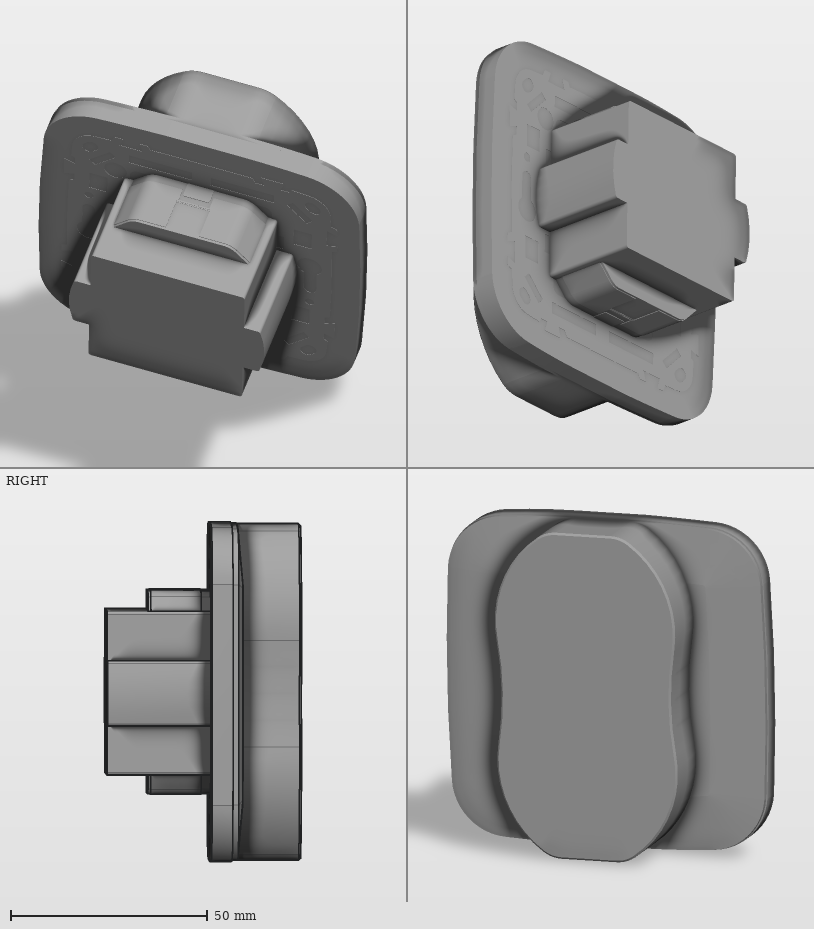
import cadquery as cq
import math

ROLL_ABOUT_Y = 1.1
YAW_ABOUT_Z = 0.9

PLATE_HALF_X = 43.1
PLATE_HALF_Z = 43.1
SIDE_FLAT_HALF = 9.7
SIDE_RADIUS = 219.9
SIDE_BEND = 4.8
PLATE_STRAIGHT = 5.3
RIM_DEPTH = 6.75
RIM_STEP = 0.35
CROWN_DEPTH = 8.05
CROWN_INSET = 14.7

BODY_DEPTH = 23.0
BODY_FLAT_HALF = 7.4
BODY_SHOULDER = (12.3, 41.2)
BODY_WAIST = (23.9, 13.6)
BODY_CHAMFER = 0.5

FRAME_THICK = 0.1
FRAME_INSET = 7.6
FRAME_BEND = 5.1
JOINT_OFFSET = 19.0
JOINT_IN = 33.85
JOINT_OUT = 36.7
JOINT_OVERLAP = 0.9
JOINT_FOOT_HALF = 5.45
JOINT_CREST_HALF = 4.5
DOVETAIL_WIDE_HALF = 3.1
DOVETAIL_NECK_HALF = 2.2

LONG_SLOT_AT = (11.0, 29.3)
LONG_SLOT_SIZE = (17.0, 3.1)
CORNER_SLOT_AT = (26.5, 26.4)
CORNER_SLOT_SIZE = (7.7, 2.25)
OVAL_AT = (29.9, 29.9)
OVAL_SIZE = (4.7, 3.4)
RECT_HOLE_AT = (27.45, 15.85)
RECT_HOLE_SIZE = (4.85, 6.15)
SIDE_HOLE_AT = (20.8, 12.0)
SIDE_HOLE_SIZE = (3.5, 5.1)
KEYHOLE_X = 29.8
KEYHOLE_NECK_SIZE = (11.1, 3.4)
KEYHOLE_HEAD_AT = (29.5, 5.2)
KEYHOLE_HEAD_RADIUS = 3.3
SCREW_HOLE_Z = 9.5
SCREW_HOLE_RADIUS = 1.2
LONE_HOLE_AT = (-22.95, 22.95)
LONE_HOLE_RADIUS = 3.0
CENTRE_OPENING_SIZE = (38.1, 49.7)
CENTRE_OPENING_ROUND = 2.2

BOX_HALF_X = 20.6
BOX_HALF_Z = 20.9
BOX_DEPTH = 26.4
BOX_FILLET = 0.8
WING_RADIUS = 26.2
WING_HALF = 8.3
WING_FILLET = 0.9

CLIP_TOP = 26.0
CLIP_HALF_TOP = 13.25
CLIP_DEPTH = 15.9
CLIP_SLOPE = 45.0
CLIP_ROUND = 4.8
CLIP_SKIN = 0.2
SKIN_START = 2.4
SKIN_END = 15.2
WINDOW_HALF = 4.5
WINDOW_START = 6.3
CHANNEL_HALF = 4.15
CHANNEL_END = 5.9
LEDGE_END = 6.7
TONGUE_HALF = 3.55
TONGUE_END = 4.2


def front_plane(y):
    """Sketch plane facing -Y at the given y; sketch axes are X and Z."""
    return cq.Workplane("XZ", origin=(0, y, 0))


def block(x0, x1, y0, y1, z0, z1):
    return cq.Workplane("XY").box(x1 - x0, y1 - y0, z1 - z0, centered=False).translate((x0, y0, z0))


def squircle(y, inset, bend_degrees=SIDE_BEND):
    """Plate outline moved inwards: bowed sides and round corners, with flat middles above and below."""
    half_x = PLATE_HALF_X - inset
    half_z = PLATE_HALF_Z - inset
    bend = math.radians(bend_degrees)
    radius = SIDE_RADIUS - inset
    flat = SIDE_FLAT_HALF
    along = flat + radius * math.sin(bend)
    drop = radius * (1 - math.cos(bend))
    top = half_z - drop
    side = half_x - drop
    return (
        front_plane(y)
        .moveTo(-flat, half_z).lineTo(flat, half_z)
        .tangentArcPoint((along, top), relative=False)
        .tangentArcPoint((side, along), relative=False)
        .threePointArc((half_x, 0), (side, -along))
        .tangentArcPoint((along, -top), relative=False)
        .tangentArcPoint((flat, -half_z), relative=False).lineTo(-flat, -half_z)
        .tangentArcPoint((-along, -top), relative=False)
        .tangentArcPoint((-side, -along), relative=False)
        .threePointArc((-half_x, 0), (-side, along))
        .tangentArcPoint((-along, top), relative=False)
        .tangentArcPoint((-flat, half_z), relative=False)
        .close()
    )


def cover_plate():
    plate = squircle(PLATE_STRAIGHT, 0).extrude(PLATE_STRAIGHT)
    rim = squircle(RIM_DEPTH, RIM_STEP).extrude(RIM_DEPTH - PLATE_STRAIGHT)
    crown_base = squircle(RIM_DEPTH, RIM_STEP).val()
    crown_top = squircle(CROWN_DEPTH, CROWN_INSET).val()
    crown = cq.Workplane(cq.Solid.makeLoft([crown_base, crown_top], True))
    return plate.union(rim).union(crown)


def rear_body():
    """Two round ends joined by a hollowed waist on each side."""
    flat = BODY_FLAT_HALF
    shoulder_x, shoulder_z = BODY_SHOULDER
    waist_x, waist_z = BODY_WAIST
    top = PLATE_HALF_Z - RIM_STEP
    outline = (
        front_plane(BODY_DEPTH)
        .moveTo(-flat, top).lineTo(flat, top)
        .tangentArcPoint((shoulder_x, shoulder_z), relative=False)
        .tangentArcPoint((waist_x, waist_z), relative=False)
        .tangentArcPoint((waist_x, -waist_z), relative=False)
        .tangentArcPoint((shoulder_x, -shoulder_z), relative=False)
        .tangentArcPoint((flat, -top), relative=False).lineTo(-flat, -top)
        .tangentArcPoint((-shoulder_x, -shoulder_z), relative=False)
        .tangentArcPoint((-waist_x, -waist_z), relative=False)
        .tangentArcPoint((-waist_x, waist_z), relative=False)
        .tangentArcPoint((-shoulder_x, shoulder_z), relative=False)
        .tangentArcPoint((-flat, top), relative=False)
        .close()
    )
    return outline.extrude(BODY_DEPTH - PLATE_STRAIGHT).faces(">Y").edges().chamfer(BODY_CHAMFER)


def trapezoid(centre, half0, z0, half1, z1):
    """Frame-thick prism whose half-width runs from half0 at z0 to half1 at z1."""
    points = [
        (centre - half0, z0),
        (centre + half0, z0),
        (centre + half1, z1),
        (centre - half1, z1),
    ]
    return front_plane(0).polyline(points).close().extrude(FRAME_THICK)


def quarter_turned(shape, quarter):
    return shape.rotate((0, 0, 0), (0, 1, 0), 90 * quarter)


def add_joints(frame):
    """One dovetail socket and one dovetail tab on each side."""
    base = PLATE_HALF_Z - FRAME_INSET
    root = base - JOINT_OVERLAP
    ears = trapezoid(-JOINT_OFFSET, JOINT_FOOT_HALF, root, JOINT_CREST_HALF, JOINT_OUT)
    socket = trapezoid(-JOINT_OFFSET, DOVETAIL_WIDE_HALF, JOINT_IN, DOVETAIL_NECK_HALF, JOINT_OUT)
    notch = trapezoid(JOINT_OFFSET, JOINT_CREST_HALF, JOINT_IN, JOINT_FOOT_HALF, base)
    tab = trapezoid(JOINT_OFFSET, DOVETAIL_NECK_HALF, JOINT_IN, DOVETAIL_WIDE_HALF, JOINT_OUT)
    for quarter in range(4):
        frame = frame.union(quarter_turned(ears, quarter)).cut(quarter_turned(socket, quarter))
        frame = frame.cut(quarter_turned(notch, quarter)).union(quarter_turned(tab, quarter))
    return frame


def frame_rect(centre, size, angle=0):
    plane = front_plane(0).center(*centre).transformed(rotate=(0, 0, angle))
    return plane.rect(*size).extrude(FRAME_THICK)


def frame_slot(centre, size, angle):
    """Round-ended opening."""
    return front_plane(0).center(*centre).slot2D(*size, angle).extrude(FRAME_THICK)


def frame_disc(centre, radius):
    return front_plane(0).center(*centre).circle(radius).extrude(FRAME_THICK)


def mirrored_openings(sx, sz):
    """Openings of one quarter of the frame; sx and sz give its signs."""
    def placed(centre):
        return (sx * centre[0], sz * centre[1])

    tangent = -45 * sx * sz
    return [
        frame_rect(placed(LONG_SLOT_AT), LONG_SLOT_SIZE),
        frame_rect(placed(CORNER_SLOT_AT), CORNER_SLOT_SIZE, tangent),
        frame_rect(placed(RECT_HOLE_AT), RECT_HOLE_SIZE),
        frame_rect(placed(SIDE_HOLE_AT), SIDE_HOLE_SIZE),
        frame_slot(placed(OVAL_AT), OVAL_SIZE, tangent),
    ]


def paired_openings(side):
    """Screw hole and keyhole, repeated by a half turn; side is +1 or -1."""
    return [
        frame_disc((side * KEYHOLE_X, -side * SCREW_HOLE_Z), SCREW_HOLE_RADIUS),
        frame_disc((side * KEYHOLE_HEAD_AT[0], side * KEYHOLE_HEAD_AT[1]), KEYHOLE_HEAD_RADIUS),
        frame_slot((side * KEYHOLE_X, 0), KEYHOLE_NECK_SIZE, 90),
    ]


def frame_openings():
    centre = frame_rect((0, 0), CENTRE_OPENING_SIZE).edges("|Y").fillet(CENTRE_OPENING_ROUND)
    openings = [centre, frame_disc(LONE_HOLE_AT, LONE_HOLE_RADIUS)]
    for sx in (-1, 1):
        openings += paired_openings(sx)
        for sz in (-1, 1):
            openings += mirrored_openings(sx, sz)
    return openings


def mounting_frame():
    frame = add_joints(squircle(0, FRAME_INSET, FRAME_BEND).extrude(FRAME_THICK))
    for opening in frame_openings():
        frame = frame.cut(opening)
    return frame


def front_box():
    box = front_plane(0).rect(2 * BOX_HALF_X, 2 * BOX_HALF_Z).extrude(BOX_DEPTH)
    box = box.edges("|Y").fillet(BOX_FILLET)
    wing_bar = front_plane(0).rect(2 * WING_RADIUS, 2 * WING_HALF).extrude(BOX_DEPTH)
    wings = front_plane(0).circle(WING_RADIUS).extrude(BOX_DEPTH).intersect(wing_bar)
    return box.union(wings.edges("|Y").fillet(WING_FILLET))


def clip_prism(y0, y1, lower):
    """Upper clip block between two depths, its sloped outline lowered by an amount."""
    top = CLIP_TOP - lower
    half_top = CLIP_HALF_TOP - lower * math.tan(math.radians(CLIP_SLOPE / 2))
    half_foot = half_top + top / math.tan(math.radians(CLIP_SLOPE))
    prism = (
        front_plane(-y0)
        .polyline([(-half_top, top), (half_top, top), (half_foot, 0), (-half_foot, 0)]).close()
        .extrude(y1 - y0)
    )
    prism = prism.edges("|Y and >Z").fillet(CLIP_ROUND - lower)
    return prism.intersect(block(-BOX_HALF_X, BOX_HALF_X, -y1, -y0, 0, CLIP_TOP))


def clip_block():
    """Upper clip: a core with a raised skin, notched by a window and a tongue channel."""
    core = clip_prism(0, CLIP_DEPTH, CLIP_SKIN)
    skin = clip_prism(SKIN_START, SKIN_END, 0)
    bare = CLIP_TOP - CLIP_SKIN
    window = block(-WINDOW_HALF, WINDOW_HALF, -CLIP_DEPTH, -WINDOW_START, bare, CLIP_TOP)
    channel = block(-CHANNEL_HALF, CHANNEL_HALF, -CHANNEL_END, 0, bare, CLIP_TOP)
    tongue = block(-TONGUE_HALF, TONGUE_HALF, -TONGUE_END, 0, 0, CLIP_TOP)
    ledge = block(-WINDOW_HALF, WINDOW_HALF, -LEDGE_END, -WINDOW_START, 0, bare + CLIP_SKIN / 2)
    return core.union(skin.cut(window).cut(channel)).union(ledge).union(tongue)


upper_clip = clip_block()
part = (
    cover_plate()
    .union(rear_body())
    .union(mounting_frame())
    .union(front_box())
    .union(upper_clip)
    .union(upper_clip.mirror("XY"))
)
result = part.rotate((0, 0, 0), (0, 1, 0), ROLL_ABOUT_Y).rotate((0, 0, 0), (0, 0, 1), YAW_ABOUT_Z)